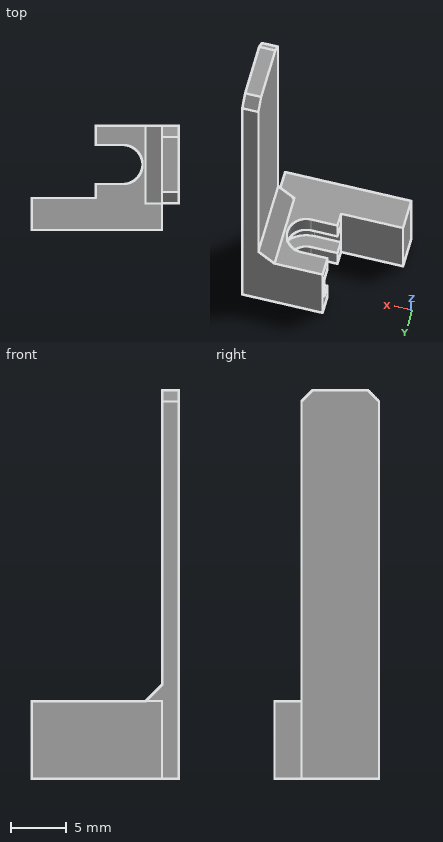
import cadquery as cq

length = 13.25
width = 9.4
height = 35.0

plate_thickness = 1.5
plate_width = 7.0
corner_chamfer = 1.0

base_height = 7.0
arm_width = 2.9
block_start = 5.78
gusset_size = 1.5

slot_width = 3.5
slot_center_x = 8.22
groove_width = 5.85
groove_height = 3.05

plate_start = length - plate_thickness
plate_front = width - plate_width
slot_center_y = width - plate_width / 2


def box(x_start, x_end, y_start, y_end, z_height):
    """Box standing on Z = 0 between the given X and Y limits."""
    return cq.Workplane("XY").box(
        x_end - x_start, y_end - y_start, z_height, centered=False
    ).translate((x_start, y_start, 0))


def make_plate():
    """Upright plate with its two top corners cut off."""
    plate = box(plate_start, length, plate_front, width, height)
    return plate.faces(">Z").edges("|X").chamfer(corner_chamfer)


def make_base():
    """L-shaped base formed by the arm and the clip block."""
    arm = box(0, plate_start, 0, arm_width, base_height)
    block = box(block_start, plate_start, plate_front, width, base_height)
    return arm.union(block)


def make_gusset():
    """Triangular strip between the base top and the plate."""
    return (
        cq.Workplane("XZ", origin=(0, width, 0))
        .moveTo(plate_start, base_height)
        .lineTo(plate_start - gusset_size, base_height)
        .lineTo(plate_start, base_height + gusset_size)
        .close()
        .extrude(plate_width)
    )


def make_slot(opening, z_start, z_height):
    """Round-ended slot cutter that runs out through the -X face of the block."""
    radius = opening / 2
    return (
        cq.Workplane("XY", origin=(0, slot_center_y, z_start))
        .moveTo(0, -radius)
        .lineTo(slot_center_x, -radius)
        .threePointArc((slot_center_x + radius, 0), (slot_center_x, radius))
        .lineTo(0, radius)
        .close()
        .extrude(z_height)
    )


through_slot = make_slot(slot_width, 0, base_height)
groove = make_slot(groove_width, (base_height - groove_height) / 2, groove_height)

base = make_base().cut(through_slot).cut(groove)
result = base.union(make_plate()).union(make_gusset())